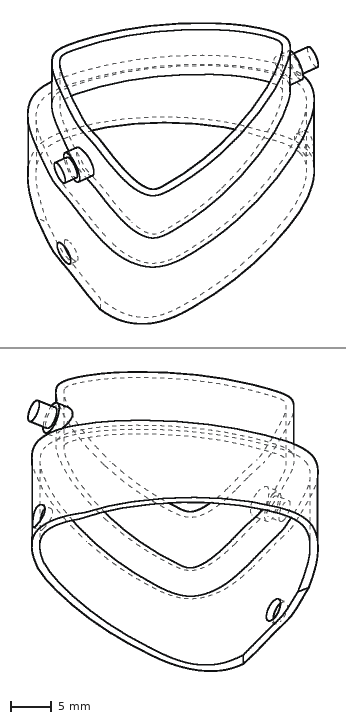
import cadquery as cq
import math


total_height = 26.0
skirt_height = 15.0
neck_base_height = 17.0

neck_half_length = 14.5
skirt_overhang = 3.0
wall = 1.0

shoulder_rise = neck_base_height - skirt_height
shoulder_slant = math.hypot(shoulder_rise, skirt_overhang)
cavity_drop = wall * (shoulder_slant - shoulder_rise) / skirt_overhang

neck_side_points = [
    (7.04, -13.95),
    (12.77, -10.89),
    (12.76, -9.71),
    (6.93, 7.49),
    (2.73, 12.91),
]
offset_samples = 40

pin_height = 20.0
pin_diameter = 2.8
boss_diameter = 4.0
pin_tip = 18.0
front_boss_face = 16.3
back_boss_face = 15.5

hole_diameter = 3.0
hole_height = 2.5
hole_reach = 20.0

notch_back_y = 14.0
notch_full_x = 15.77
notch_tip_distance = 44.0
notch_reach = 20.0
notch_points = [
    (0, 0),
    (-5.96, 1.36),
    (-12.09, 2.38),
    (-17.9, 3.08),
    (-23.5, 3.42),
    (-27.0, 3.2),
    (-31.0, 1.9),
    (-35.4, 0),
]


def closed_spline(points):
    """Smooth closed curve through the points."""
    return cq.Edge.makeSpline(points, periodic=True)


def neck_curve():
    """Neck outline at Z = 0, counter-clockwise from the front middle."""
    left_points = [(-x, y) for x, y in reversed(neck_side_points)]
    points = [(0, -neck_half_length), *neck_side_points, (0, neck_half_length), *left_points]
    return closed_spline([cq.Vector(x, y, 0) for x, y in points])


def outline(offset, height):
    """Neck outline moved outward along its normals by offset, as a wire at the given height."""
    base = neck_curve()
    points = []
    for index in range(offset_samples):
        place = index / offset_samples
        tangent = base.tangentAt(place)
        outward = cq.Vector(tangent.y, -tangent.x, 0)
        points.append(base.positionAt(place) + outward * offset + cq.Vector(0, 0, height))
    return cq.Wire.assembleEdges([closed_spline(points)])


def prism(offset, bottom, top):
    """Straight solid with the offset outline."""
    rise = cq.Vector(0, 0, top - bottom)
    return cq.Workplane(cq.Solid.extrudeLinear(outline(offset, bottom), [], rise))


def stepped_body(neck_offset, drop):
    """Skirt, shoulder and neck as one solid, outlines moved by neck_offset and shoulder lowered by drop."""
    skirt_offset = neck_offset + skirt_overhang
    shoulder_bottom = skirt_height - drop
    shoulder_top = neck_base_height - drop
    skirt = prism(skirt_offset, 0, shoulder_bottom)
    shoulder_wires = [outline(skirt_offset, shoulder_bottom), outline(neck_offset, shoulder_top)]
    shoulder = cq.Workplane(cq.Solid.makeLoft(shoulder_wires, True))
    neck = prism(neck_offset, shoulder_top, total_height)
    return skirt.union(shoulder).union(neck)


def rod(diameter, start, end, height):
    """Round bar along Y between two Y positions."""
    return cq.Workplane(
        cq.Solid.makeCylinder(
            diameter / 2,
            abs(end - start),
            cq.Vector(0, start, height),
            cq.Vector(0, math.copysign(1, end - start), 0),
        )
    )


def pivot(side, boss_face):
    """Boss and pin on one end; side is -1 for the front and 1 for the back."""
    root = side * (neck_half_length - wall)
    boss = rod(boss_diameter, root, side * boss_face, pin_height)
    pin = rod(pin_diameter, root, side * pin_tip, pin_height)
    return boss.union(pin)


def notch_profile(x):
    """Closed outline of the side notch in the plane at the given x, scaled by distance from the tip."""
    scale = (x + notch_tip_distance) / (notch_full_x + notch_tip_distance)
    points = [cq.Vector(x, notch_back_y + along * scale, rise) for along, rise in notch_points]
    arch = cq.Edge.makeSpline(points)
    base = cq.Edge.makeLine(points[-1], points[0])
    return cq.Wire.assembleEdges([arch, base])


def side_notch():
    """Cutter for the arched notch in the bottom edge on the +X side."""
    return cq.Workplane(cq.Solid.makeLoft([notch_profile(0), notch_profile(notch_reach)], True))


outer = stepped_body(0, 0)
cavity = stepped_body(-wall, cavity_drop)
pivots = pivot(-1, front_boss_face).union(pivot(1, back_boss_face))
cross_hole = rod(hole_diameter, -hole_reach, hole_reach, hole_height)

notch = side_notch()

result = (
    outer.union(pivots)
    .cut(cavity)
    .cut(cross_hole)
    .cut(notch)
    .cut(notch.mirror("YZ"))
)